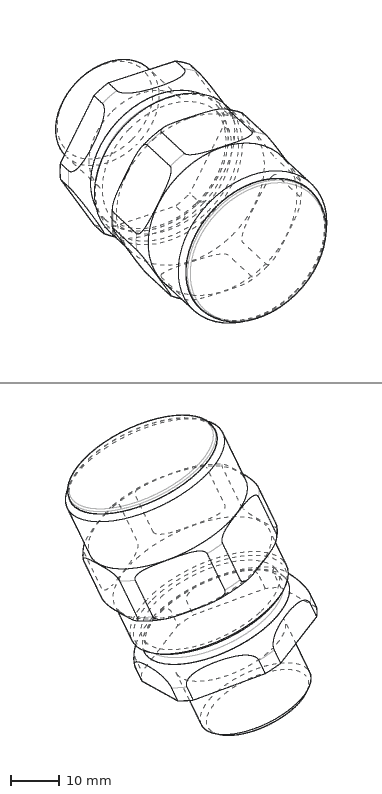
import cadquery as cq
import math

total_length = 62.0
hex_flange_front = 15.0
hex_flange_back = 22.15
nut_front = 25.2
nut_hex_front = 34.7
nut_hex_back = 47.75
nut_taper_start = 59.9
seal_front = 61.0

hex_across_flats = 36.0
hex_corner_diameter = 39.5
flange_corner_round = 3.7

spigot_diameter = 25.0
spigot_chamfer = 1.0
spigot_root_fillet = 0.55
neck_diameter = 31.2
neck_root_fillet = 1.0

nut_hex_corner_round = 1.8
nut_sleeve_diameter = 35.65
nut_sleeve_chamfer = 0.55
nut_skirt_diameter = 35.85
nut_end_diameter = 33.55

seal_diameter = 33.35
seal_edge_fillet = 0.4

ARC_MIDDLE_INSET = 1 - math.sqrt(0.5)


def cylinder(diameter, start, end):
    """Solid cylinder on the X axis between two stations."""
    return cq.Workplane("YZ").workplane(offset=start).circle(diameter / 2).extrude(end - start)


def hex_prism(start, end):
    """Hexagonal prism on the X axis with flats facing up and down."""
    across_corners = hex_across_flats / math.cos(math.pi / 6)
    return cq.Workplane("YZ").workplane(offset=start).polygon(6, across_corners).extrude(end - start)


def make_entry():
    """Chamfered spigot, hexagonal flange rounded at the back, and round neck."""
    spigot_radius = spigot_diameter / 2
    neck_radius = neck_diameter / 2
    spigot_arc_inset = spigot_root_fillet * ARC_MIDDLE_INSET
    neck_arc_inset = neck_root_fillet * ARC_MIDDLE_INSET
    turned_core = (
        cq.Workplane("XY")
        .lineTo(0, spigot_radius - spigot_chamfer)
        .lineTo(spigot_chamfer, spigot_radius)
        .lineTo(hex_flange_front - spigot_root_fillet, spigot_radius)
        .threePointArc(
            (hex_flange_front - spigot_arc_inset, spigot_radius + spigot_arc_inset),
            (hex_flange_front, spigot_radius + spigot_root_fillet),
        )
        .lineTo(hex_flange_front, neck_radius + neck_root_fillet)
        .lineTo(hex_flange_back, neck_radius + neck_root_fillet)
        .threePointArc(
            (hex_flange_back + neck_arc_inset, neck_radius + neck_arc_inset),
            (hex_flange_back + neck_root_fillet, neck_radius),
        )
        .lineTo(nut_front, neck_radius)
        .lineTo(nut_front, 0)
        .close()
        .revolve(360, (0, 0, 0), (1, 0, 0))
    )

    flange_blank = cylinder(hex_corner_diameter, hex_flange_front, hex_flange_back)
    flange_blank = flange_blank.faces(">X").edges().fillet(flange_corner_round)
    flange = flange_blank.intersect(hex_prism(hex_flange_front, hex_flange_back))
    return turned_core.union(flange)


def make_nut():
    """Chamfered front sleeve, hexagon rounded at both ends, and tapered rear skirt."""
    sleeve = cylinder(nut_sleeve_diameter, nut_front, nut_hex_front)
    sleeve = sleeve.faces("<X").chamfer(nut_sleeve_chamfer)

    hex_blank = cylinder(hex_corner_diameter, nut_hex_front, nut_hex_back)
    hex_blank = hex_blank.faces("|X").edges().fillet(nut_hex_corner_round)
    hexagon = hex_blank.intersect(hex_prism(nut_hex_front, nut_hex_back))

    taper_length = seal_front - nut_taper_start
    taper_depth = (nut_skirt_diameter - nut_end_diameter) / 2
    skirt = cylinder(nut_skirt_diameter, nut_hex_back, seal_front)
    skirt = skirt.faces(">X").chamfer(taper_length, taper_depth)
    return sleeve.union(hexagon).union(skirt)


def make_end_seal():
    """Flat disc with a rounded outer edge, closing the rear of the nut."""
    return cylinder(seal_diameter, seal_front, total_length).faces(">X").edges().fillet(seal_edge_fillet)


entry = make_entry()
nut = make_nut()
end_seal = make_end_seal()

result = cq.Compound.makeCompound([entry.val(), nut.val(), end_seal.val()])